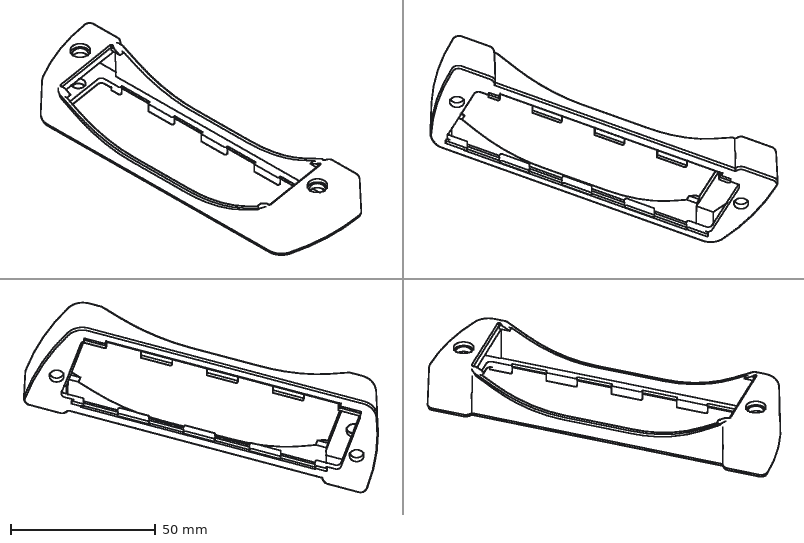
import cadquery as cq
import math

half_length = 62.5
block_depth = 36.8
wall_back = 34.9
height = 18.4
draft = 1.5
side_radius = 75.0
side_arc_start = 33.8
front_corner_radius = 6.9
back_corner_radius = 2.5
block_inner = 46.1
neck_radius = 2.8
top_fillet = 2.0
foot_height = 1.1
foot_inset = 0.4

saddle_height = 6.6
saddle_flat = 12.6
saddle_arc_end = 37.9
saddle_radius = 51.2
wall_chamfer = 0.8
saddle_edge_radius = 1.5
saddle_clearance = 1.2

floor_thickness = 2.4
cavity_front = 1.8
cavity_back = 33.0
cavity_half_length = 47.0
cavity_ceiling = 16.2
slot_front = 4.1
slot_back = 30.6
slot_bevel = 0.6
pocket_ceiling = 14.9
pocket_wall = 2.0

window_front = 3.8
window_back = 30.6
window_half_length = 50.9
window_corner_radius = 1.6
ledge_underside = 1.2
ledge_relief_depth = 1.1
tab_thickness = 1.1
tab_drop = 1.1
tab_width = 11.2
tab_pitch = 24.0
tab_corner_radius = 0.5
end_tab_inner = 42.2
front_end_tab_outer = 50.4
back_end_tab_outer = 46.5

screw_x = 53.8
screw_y = 21.9
screw_diameter = 5.5
recess_diameter = 7.0
recess_depth = 1.5
floor_screw_x = 54.6
floor_screw_diameter = 5.0

bevel_taper = -45
edge_search = 1.5


def box(x0, x1, y0, y1, z0, z1):
    """Axis-aligned box between two corners."""
    return cq.Workplane("XY").box(x1 - x0, y1 - y0, z1 - z0, centered=False).translate((x0, y0, z0))


def both_ends(shape):
    """A feature of the right end together with its mirror at the left end."""
    return shape.union(shape.mirror("YZ"))


def side_x(y):
    """X of the bowed right side at depth y."""
    drop = side_arc_start - y
    return half_length - side_radius + math.sqrt(side_radius**2 - drop**2)


def body_outline():
    """Outline with bowed sides and two end blocks standing proud of the rear wall."""
    mid_y = side_arc_start / 2
    center_y = block_depth - neck_radius
    wall_angle = math.asin((wall_back - center_y) / neck_radius)
    center_x = block_inner + neck_radius * math.cos(wall_angle)
    mid_angle = (wall_angle + math.pi / 2) / 2
    neck_mid_x = center_x - neck_radius * math.cos(mid_angle)
    neck_mid_y = center_y + neck_radius * math.sin(mid_angle)
    return (
        cq.Workplane("XY")
        .workplane(offset=foot_height)
        .moveTo(-side_x(0), 0)
        .lineTo(side_x(0), 0)
        .threePointArc((side_x(mid_y), mid_y), (half_length, side_arc_start))
        .lineTo(half_length, block_depth)
        .lineTo(center_x, block_depth)
        .threePointArc((neck_mid_x, neck_mid_y), (block_inner, wall_back))
        .lineTo(-block_inner, wall_back)
        .threePointArc((-neck_mid_x, neck_mid_y), (-center_x, block_depth))
        .lineTo(-half_length, block_depth)
        .lineTo(-half_length, side_arc_start)
        .threePointArc((-side_x(mid_y), mid_y), (-side_x(0), 0))
        .close()
    )


def upright_edges(solid, x, y):
    """The pair of upright edges standing near (-x, y) and (x, y)."""
    near = [
        cq.selectors.BoxSelector(
            (corner_x - edge_search, y - edge_search, 0),
            (corner_x + edge_search, y + edge_search, height),
        )
        for corner_x in (-x, x)
    ]
    return solid.edges("not #Z").edges(near[0] + near[1])


def outer_body():
    """Drafted block with rounded corners, rounded top and a narrow bevelled foot."""
    body = body_outline().extrude(height - foot_height, taper=draft)
    body = upright_edges(body, side_x(0), 0).fillet(front_corner_radius)
    body = upright_edges(body, half_length, block_depth).fillet(back_corner_radius)
    foot_taper = math.degrees(math.atan(foot_inset / foot_height))
    foot = body.faces("<Z").wires().toPending().extrude(-foot_height, taper=foot_taper, combine=False)
    return body.faces(">Z").edges().fillet(top_fillet).union(foot)


def saddle(start_y, depth, taper=0):
    """Scoop between the blocks: flat bottom, an arc up each side, then a tangent ramp."""
    run = saddle_arc_end - saddle_flat
    sweep = math.asin(run / saddle_radius)
    arc_top = saddle_height + saddle_radius * (1 - math.cos(sweep))
    mid_x = saddle_flat + saddle_radius * math.sin(sweep / 2)
    mid_z = saddle_height + saddle_radius * (1 - math.cos(sweep / 2))
    edge_x = saddle_arc_end + (height - arc_top) / math.tan(sweep)
    round_length = saddle_edge_radius * math.tan(sweep / 2)
    ramp_end_x = edge_x - round_length * math.cos(sweep)
    ramp_end_z = height - round_length * math.sin(sweep)
    brow_x = edge_x + round_length
    brow_mid_x = brow_x - saddle_edge_radius * math.sin(sweep / 2)
    brow_mid_z = height - saddle_edge_radius * (1 - math.cos(sweep / 2))
    clear_z = height + saddle_clearance
    return (
        cq.Workplane("XZ", origin=(0, start_y, 0))
        .moveTo(-saddle_flat, saddle_height)
        .lineTo(saddle_flat, saddle_height)
        .threePointArc((mid_x, mid_z), (saddle_arc_end, arc_top))
        .lineTo(ramp_end_x, ramp_end_z)
        .threePointArc((brow_mid_x, brow_mid_z), (brow_x, height))
        .lineTo(brow_x, clear_z)
        .lineTo(-brow_x, clear_z)
        .lineTo(-brow_x, height)
        .threePointArc((-brow_mid_x, brow_mid_z), (-ramp_end_x, ramp_end_z))
        .lineTo(-saddle_arc_end, arc_top)
        .threePointArc((-mid_x, mid_z), (-saddle_flat, saddle_height))
        .close()
        .extrude(depth, taper=taper)
    )


def cavity():
    """Hollow between the two long walls, narrowing upward with the draft."""
    narrowing = (cavity_ceiling - floor_thickness) * math.tan(math.radians(draft))
    section = [
        (cavity_front, floor_thickness),
        (cavity_back, floor_thickness),
        (cavity_back - narrowing, cavity_ceiling),
        (cavity_front + narrowing, cavity_ceiling),
    ]
    return cq.Workplane("YZ").polyline(section).close().extrude(cavity_half_length, both=True)


def slot():
    """Opening between the two top plates, with bevelled upper edges."""
    width = slot_back - slot_front
    center_y = (slot_front + slot_back) / 2
    opening = box(-cavity_half_length, cavity_half_length, slot_front, slot_back, floor_thickness, height)
    flare = (
        cq.Workplane("XY", origin=(0, center_y, height - slot_bevel))
        .rect(2 * cavity_half_length, width)
        .extrude(slot_bevel, taper=bevel_taper)
    )
    return opening.union(flare)


def pocket():
    """Hollow under the top plate of the right block, following the bowed side."""
    front = pocket_wall
    back = block_depth - pocket_wall
    mid_y = (front + back) / 2
    return (
        cq.Workplane("XY", origin=(0, 0, floor_thickness))
        .moveTo(cavity_half_length, front)
        .lineTo(side_x(front) - pocket_wall, front)
        .threePointArc((side_x(mid_y) - pocket_wall, mid_y), (side_x(back) - pocket_wall, back))
        .lineTo(cavity_half_length, back)
        .close()
        .extrude(pocket_ceiling - floor_thickness)
    )


def window():
    """Opening in the floor: a full-length slot with rounded corners, wider along the
    ledges that carry the tabs, which are thinned from below.
    """
    front = window_front + tab_thickness
    back = window_back - tab_thickness
    wide_end = end_tab_inner + tab_corner_radius
    opening = box(-window_half_length, window_half_length, front, back, 0, floor_thickness)
    opening = opening.edges("|Z").fillet(window_corner_radius)
    relief_front = window_front - ledge_relief_depth
    relief_back = window_back + ledge_relief_depth
    relief = box(-wide_end, wide_end, relief_front, relief_back, 0, ledge_underside)
    widening = box(-wide_end, wide_end, window_front, window_back, 0, floor_thickness)
    return opening.union(widening).union(relief)


def tab_row(y, end_tab_outer, inner_side):
    """Five tabs along one edge of the window, rounded at their corners facing inward."""
    spans = [(n * tab_pitch - tab_width / 2, n * tab_pitch + tab_width / 2) for n in (-1, 0, 1)]
    spans += [(-end_tab_outer, -end_tab_inner), (end_tab_inner, end_tab_outer)]
    row = cq.Workplane("XY")
    for x0, x1 in spans:
        tab = box(x0, x1, y, y + tab_thickness, -tab_drop, floor_thickness)
        row = row.union(tab.faces(inner_side).edges("|Z").fillet(tab_corner_radius))
    return row


def screw_holes():
    """Recessed hole through the top plate and a plain one through the floor, right end."""
    top = cq.Workplane("XY", origin=(screw_x, screw_y, height))
    hole = top.circle(screw_diameter / 2).extrude(pocket_ceiling - height)
    recess = top.circle(recess_diameter / 2).extrude(-recess_depth)
    floor_hole = cq.Workplane("XY", origin=(floor_screw_x, screw_y, 0)).circle(floor_screw_diameter / 2)
    return hole.union(recess).union(floor_hole.extrude(floor_thickness))


def bevel(start_y, depth):
    """Saddle flaring out at 45 degrees, clear of the blocks, to bevel an outer wall edge."""
    limits = box(-block_inner, block_inner, 0, block_depth, 0, height)
    return saddle(start_y, depth, bevel_taper).intersect(limits)


body = outer_body()
body = body.cut(saddle(block_depth, block_depth))
body = body.cut(saddle(wall_chamfer, wall_chamfer, bevel_taper))
body = body.cut(bevel(wall_back - wall_chamfer, -wall_chamfer))
body = body.cut(cavity())
body = body.cut(both_ends(pocket()))
body = body.cut(slot())
body = body.cut(window())
body = body.cut(both_ends(screw_holes()))
body = body.union(tab_row(window_front, front_end_tab_outer, ">Y"))
result = body.union(tab_row(window_back - tab_thickness, back_end_tab_outer, "<Y"))